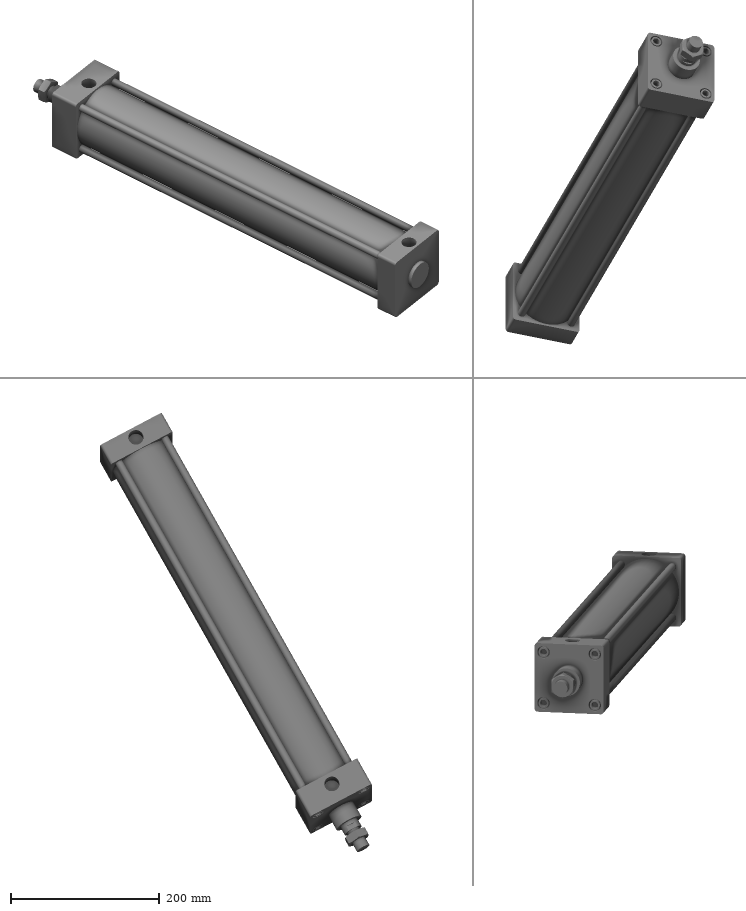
import cadquery as cq
import math


length = 659.0
nut_start = 12.5
nut_width = 11.0
shank_start = 28.5
collar_start = 40.0
head_start = 62.5
head_end = 103.5
cap_start = 623.5
cap_end = 654.0

block_side = 95.0
block_fillet = 4.0
boss_diameter = 38.0

port_diameter = 20.5
port_depth = 20.0
head_port_x = 88.5
cap_port_x = 640.0

barrel_outer_diameter = 89.0
barrel_bore_diameter = 82.5

tie_rod_pitch = 70.5
tie_rod_diameter = 10.5
screw_head_diameter = 14.0
socket_diameter = 9.0
socket_depth = 10.0
counterbore_diameter = 17.0
counterbore_depth = 14.0
tie_rod_embed = 13.0

rod_diameter = 26.0
thread_diameter = 19.0
wrench_flat_width = 22.0
wrench_flat_length = 6.5
nut_across_flats = 29.5
nut_bevel_angle = 20

tie_rod_offset = tie_rod_pitch / 2
tie_rod_centres = [
    (y_side * tie_rod_offset, z_side * tie_rod_offset)
    for y_side in (-1, 1)
    for z_side in (-1, 1)
]

seat_x = head_start + counterbore_depth
tie_rod_end = cap_start + tie_rod_embed


def cylinder(diameter, start, end, centre=(0, 0)):
    """Cylinder parallel to X between two stations, centred at (y, z)."""
    plane = cq.Workplane("YZ", origin=(start, *centre))
    return plane.circle(diameter / 2).extrude(end - start)


def make_block(start, end, port_x):
    """Square block with rounded long edges and a blind port in its top face."""
    block = (
        cq.Workplane("YZ", origin=(start, 0, 0))
        .rect(block_side, block_side)
        .extrude(end - start)
        .edges("|X")
        .fillet(block_fillet)
    )
    port = (
        cq.Workplane("XY", origin=(port_x, 0, block_side / 2))
        .circle(port_diameter / 2)
        .extrude(-port_depth)
    )
    return block.cut(port)


def make_head():
    """Front block: rod collar, rod bore and counterbored tie-rod holes."""
    head = make_block(head_start, head_end, head_port_x)
    head = head.union(cylinder(boss_diameter, collar_start, head_start))
    head = head.cut(cylinder(rod_diameter, collar_start, head_end))
    for centre in tie_rod_centres:
        head = head.cut(cylinder(tie_rod_diameter, head_start, head_end, centre))
        head = head.cut(cylinder(counterbore_diameter, head_start, seat_x, centre))
    return head


def make_cap():
    """Rear block: centring boss and blind tie-rod holes."""
    cap = make_block(cap_start, cap_end, cap_port_x)
    cap = cap.union(cylinder(boss_diameter, cap_end, length))
    for centre in tie_rod_centres:
        cap = cap.cut(cylinder(tie_rod_diameter, cap_start, tie_rod_end, centre))
    return cap


def make_barrel():
    """Tube between the two end blocks."""
    barrel = cylinder(barrel_outer_diameter, head_end, cap_start)
    return barrel.cut(cylinder(barrel_bore_diameter, head_end, cap_start))


def make_tie_rod(centre):
    """Long screw whose socket head lies flush in a counterbore of the front block."""
    screw = cylinder(tie_rod_diameter, seat_x, tie_rod_end, centre)
    screw = screw.union(cylinder(screw_head_diameter, head_start, seat_x, centre))
    return screw.cut(cylinder(socket_diameter, head_start, head_start + socket_depth, centre))


def make_rod():
    """Piston rod with a thinner threaded end and two wrench flats on its shoulder."""
    rod = cylinder(thread_diameter, 0, shank_start)
    rod = rod.union(cylinder(rod_diameter, shank_start, cap_start))
    for side in (-1, 1):
        flat = cq.Workplane("XY").box(wrench_flat_length, rod_diameter, rod_diameter)
        flat_z = side * (wrench_flat_width + rod_diameter) / 2
        rod = rod.cut(flat.translate((shank_start + wrench_flat_length / 2, 0, flat_z)))
    return rod


def make_nut():
    """Hexagonal nut with corners at +Z and -Z."""
    across_corners = nut_across_flats / math.cos(math.pi / 6)
    nut = (
        cq.Workplane("YZ", origin=(nut_start, 0, 0))
        .transformed(rotate=(0, 0, 90))
        .polygon(6, across_corners)
        .extrude(nut_width)
    )
    bevel_radial = (across_corners - nut_across_flats) / 2
    bevel_axial = bevel_radial * math.tan(math.radians(nut_bevel_angle))
    envelope = (
        cylinder(across_corners, nut_start, nut_start + nut_width)
        .edges("<X or >X")
        .chamfer(bevel_axial, bevel_radial)
    )
    nut = nut.intersect(envelope)
    return nut.cut(cylinder(thread_diameter, nut_start, nut_start + nut_width))


head = make_head()
cap = make_cap()
barrel = make_barrel()
tie_rods = [make_tie_rod(centre) for centre in tie_rod_centres]
rod = make_rod()
nut = make_nut()

result = cq.Compound.makeCompound(
    [head.val(), cap.val(), barrel.val(), *[tie_rod.val() for tie_rod in tie_rods], rod.val(), nut.val()]
)